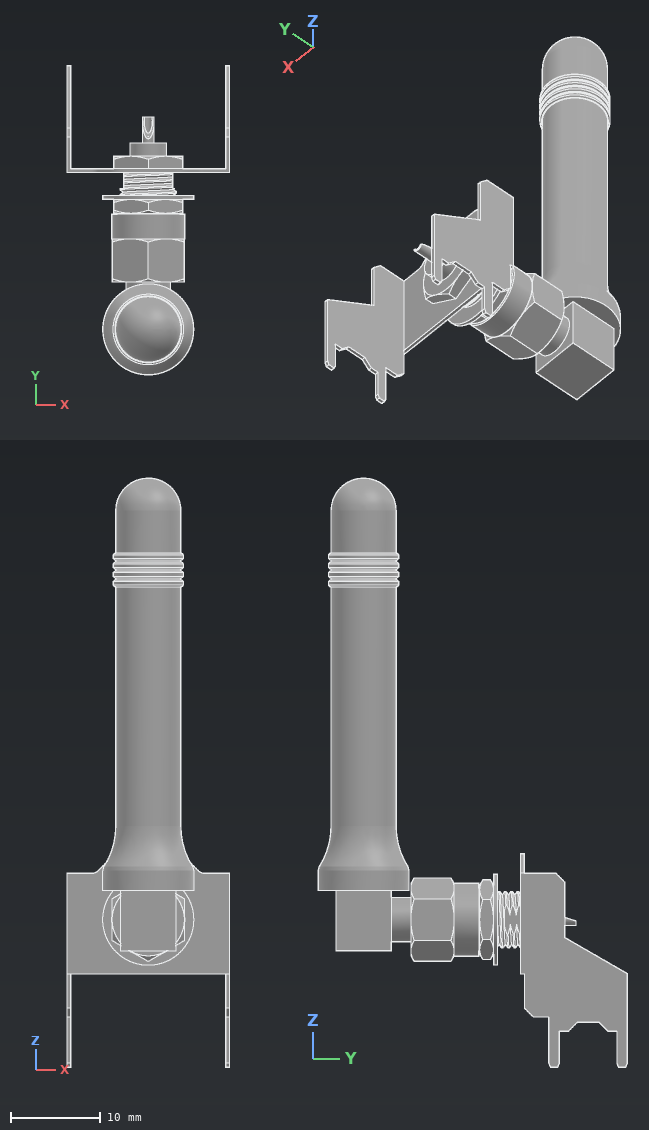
import cadquery as cq
import math


SHEET = 0.45
BRACKET_WIDTH = 18.2
LEG_TOP = 5.2
PLATE_BOTTOM = -6.1
PLATE_HOLE_DIAMETER = 6.5
TAB_TOP = 7.4
TAB_FOOT_HALF = 5.9
TAB_FOOT_RADIUS = 1.0
TAB_CREST_RADIUS = 2.0
LEG_DEPTH = 12.0
LEG_UPPER_DEPTH = 5.0
LEG_SLOPE_TOP = -2.0
LEG_SLOPE_ANGLE = 30
LEG_BOTTOM = -10.9
LEG_CORNER = 1.0
ARCH_SHOULDER = -12.5
ARCH_TOP = ARCH_SHOULDER + LEG_CORNER
ARCH_SHOULDER_WIDTH = 1.0
PRONG_BOTTOM = -16.55
PRONG_WIDTH = 1.2
PRONG_PITCH = 7.62
PRONG_TIP_INSET = 0.2
PRONG_TIP_HEIGHT = 0.5

THREAD_DIAMETER = 6.35
THREAD_MINOR_DIAMETER = 5.6
MM_PER_INCH = 25.4
THREADS_PER_INCH = 36
THREAD_PITCH = MM_PER_INCH / THREADS_PER_INCH
GROOVE_MOUTH_WIDTH = 0.9 * THREAD_PITCH
GROOVE_OVERSHOOT = 0.05
THREAD_FLAT_SPACING = 5.5
THREAD_FLAT_END = -1.75
HEX_CONE_ANGLE = 30
NUT_ACROSS_FLATS = 7.75
NUT_THICKNESS = 1.55
FLANGE_BACK = 1.85
BUSHING_DIAMETER = 4.13
BUSHING_BACK = 3.35
PIN_DIAMETER = 1.32
PIN_BACK = 6.25
CUP_DIAMETER = 0.9
CUP_DEPTH = 2.2
CUP_RAMP_START = 3.8
CUP_RAMP_END_Z = -0.15
WASHER_DIAMETER = 10.21
WASHER_THICKNESS = 0.45
WASHER_BACK = -2.55
WASHER_FRONT = WASHER_BACK - WASHER_THICKNESS
NUT_FRONT = WASHER_FRONT - NUT_THICKNESS
COLLAR_DIAMETER = 7.0
JACK_FRONT = -7.4

COUPLING_BACK = -4.65
COUPLING_DIAMETER = 8.2
COUPLING_HEX_BACK = JACK_FRONT
COUPLING_FRONT = -12.25
COUPLING_ACROSS_FLATS = 8.1
STUB_DIAMETER = 5.0
BASE_DIAMETER = 10.21
OVERALL_DEPTH = 34.65
WHIP_Y = LEG_DEPTH - OVERALL_DEPTH + BASE_DIAMETER / 2
ELBOW_WIDTH = 6.2
ELBOW_BOTTOM = -3.5
BASE_BOTTOM = 3.25
BASE_RIM = 5.45
BASE_TOP = 5.9
BASE_TOP_DIAMETER = 10.0
FLARE_TOP = 10.45
WHIP_DIAMETER = 7.33
WHIP_TOP = 49.45
RIB_DIAMETER = 7.9
RIB_HEIGHT = 0.8
RIB_CHAMFER = 0.2
RIB_PITCH = 1.0
RIB_COUNT = 4
RIBS_BOTTOM = 37.25


def cylinder_y(diameter, front, back):
    """Cylinder on the connector axis from Y = front to Y = back."""
    return cq.Workplane("XZ", origin=(0, back, 0)).circle(diameter / 2).extrude(back - front)


def hexagon_y(across_flats, front, back, front_turned=True):
    """Hexagonal prism on the connector axis, corners up and down.

    The back end, and the front end too if asked, is turned to a 30 degree cone.
    """
    corner_radius = across_flats / math.sqrt(3)
    prism = (
        cq.Workplane("XZ", origin=(0, back, 0))
        .transformed(rotate=(0, 0, 90))
        .polygon(6, 2 * corner_radius)
        .extrude(back - front)
    )
    end_radius = across_flats / 2
    setback = (corner_radius - end_radius) * math.tan(math.radians(HEX_CONE_ANGLE))
    front_corner = [(corner_radius, front)]
    if front_turned:
        front_corner = [(end_radius, front), (corner_radius, front + setback)]
    turned = (
        cq.Workplane("XY")
        .polyline([
            (0, front),
            *front_corner,
            (corner_radius, back - setback),
            (end_radius, back),
            (0, back),
        ])
        .close()
        .revolve(360, (0, 0, 0), (0, 1, 0))
    )
    return prism.intersect(turned)


def flatted_rod(front, back):
    """Thread-sized rod with a flat on each X side."""
    rod = cylinder_y(THREAD_DIAMETER, front, back)
    between_flats = cq.Workplane("XZ", origin=(0, back, 0)).rect(THREAD_FLAT_SPACING, THREAD_DIAMETER)
    return rod.intersect(between_flats.extrude(back - front))


def bracket_plate():
    tab_crest_half = TAB_FOOT_HALF - (TAB_TOP - LEG_TOP)
    half = BRACKET_WIDTH / 2
    plate = (
        cq.Workplane("XZ")
        .polyline([
            (-half, PLATE_BOTTOM),
            (half, PLATE_BOTTOM),
            (half, LEG_TOP),
            (TAB_FOOT_HALF, LEG_TOP),
            (tab_crest_half, TAB_TOP),
            (-tab_crest_half, TAB_TOP),
            (-TAB_FOOT_HALF, LEG_TOP),
            (-half, LEG_TOP),
        ])
        .close()
        .extrude(-SHEET)
    )
    for side in (-1, 1):
        foot = cq.selectors.NearestToPointSelector((side * TAB_FOOT_HALF, SHEET / 2, LEG_TOP))
        crest = cq.selectors.NearestToPointSelector((side * tab_crest_half, SHEET / 2, TAB_TOP))
        plate = plate.edges("|Y").edges(foot).fillet(TAB_FOOT_RADIUS)
        plate = plate.edges("|Y").edges(crest).fillet(TAB_CREST_RADIUS)
    return plate


def prong_tip(y_front):
    """Lower end of a prong, from its front side round to its back side."""
    shoulder = PRONG_BOTTOM + PRONG_TIP_HEIGHT
    return [
        (y_front, shoulder),
        (y_front + PRONG_TIP_INSET, PRONG_BOTTOM),
        (y_front + PRONG_WIDTH - PRONG_TIP_INSET, PRONG_BOTTOM),
        (y_front + PRONG_WIDTH, shoulder),
    ]


def bracket_leg(side):
    back_prong = LEG_DEPTH - PRONG_WIDTH
    front_prong = back_prong - PRONG_PITCH
    arch_front = front_prong + PRONG_WIDTH + ARCH_SHOULDER_WIDTH
    arch_back = back_prong - ARCH_SHOULDER_WIDTH
    slope_drop = (LEG_DEPTH - LEG_UPPER_DEPTH) * math.tan(math.radians(LEG_SLOPE_ANGLE))
    outline = [
        (0, LEG_TOP),
        (0, PLATE_BOTTOM),
        (SHEET, PLATE_BOTTOM),
        (SHEET, LEG_BOTTOM + LEG_CORNER),
        (SHEET + LEG_CORNER, LEG_BOTTOM),
        (front_prong, LEG_BOTTOM),
        *prong_tip(front_prong),
        (front_prong + PRONG_WIDTH, ARCH_SHOULDER),
        (arch_front, ARCH_SHOULDER),
        (arch_front + LEG_CORNER, ARCH_TOP),
        (arch_back - LEG_CORNER, ARCH_TOP),
        (arch_back, ARCH_SHOULDER),
        (back_prong, ARCH_SHOULDER),
        *prong_tip(back_prong),
        (LEG_DEPTH, LEG_SLOPE_TOP - slope_drop),
        (LEG_UPPER_DEPTH, LEG_SLOPE_TOP),
        (LEG_UPPER_DEPTH, LEG_TOP - LEG_CORNER),
        (LEG_UPPER_DEPTH - LEG_CORNER, LEG_TOP),
    ]
    outer_face = side * BRACKET_WIDTH / 2
    return (
        cq.Workplane("YZ", origin=(outer_face, 0, 0))
        .polyline(outline)
        .close()
        .extrude(-side * SHEET)
    )


def make_bracket():
    bracket = bracket_plate()
    for side in (-1, 1):
        bracket = bracket.union(bracket_leg(side))
    return bracket.cut(cylinder_y(PLATE_HOLE_DIAMETER, 0, SHEET))


def thread_groove():
    """Helical V groove around the exposed thread, along the connector axis."""
    start = WASHER_BACK - THREAD_PITCH
    outer_radius = THREAD_DIAMETER / 2 + GROOVE_OVERSHOOT
    root_radius = THREAD_MINOR_DIAMETER / 2
    half_mouth = GROOVE_MOUTH_WIDTH / 2
    helix = cq.Wire.makeHelix(THREAD_PITCH, SHEET - start, root_radius)
    groove = (
        cq.Workplane("XZ")
        .polyline([(root_radius, 0), (outer_radius, -half_mouth), (outer_radius, half_mouth)])
        .close()
        .sweep(cq.Workplane(helix), isFrenet=True)
    )
    groove = groove.rotate((0, 0, 0), (1, 0, 0), -90).translate((0, start, 0))
    exposed = cylinder_y(WASHER_DIAMETER, WASHER_BACK, 0)
    return groove.intersect(exposed)


def solder_pin():
    pin = cylinder_y(PIN_DIAMETER, BUSHING_BACK, PIN_BACK)
    cup = cylinder_y(CUP_DIAMETER, PIN_BACK - CUP_DEPTH, PIN_BACK)
    above_ramp = (
        cq.Workplane("YZ")
        .polyline([
            (CUP_RAMP_START, PIN_DIAMETER / 2),
            (PIN_BACK, CUP_RAMP_END_Z),
            (PIN_BACK, PIN_DIAMETER / 2),
        ])
        .close()
        .extrude(PIN_DIAMETER, both=True)
    )
    return pin.cut(cup).cut(above_ramp)


def make_connector():
    connector = flatted_rod(THREAD_FLAT_END, SHEET)
    connector = connector.union(cylinder_y(THREAD_DIAMETER, JACK_FRONT, THREAD_FLAT_END))
    connector = connector.cut(thread_groove())
    connector = connector.union(hexagon_y(NUT_ACROSS_FLATS, SHEET, FLANGE_BACK, front_turned=False))
    connector = connector.union(cylinder_y(BUSHING_DIAMETER, FLANGE_BACK, BUSHING_BACK))
    connector = connector.union(solder_pin())
    connector = connector.union(cylinder_y(WASHER_DIAMETER, WASHER_FRONT, WASHER_BACK))
    connector = connector.union(hexagon_y(NUT_ACROSS_FLATS, NUT_FRONT, WASHER_FRONT))
    return connector.union(cylinder_y(COLLAR_DIAMETER, COUPLING_BACK, NUT_FRONT))


def coupling_nut():
    sleeve = cylinder_y(COUPLING_DIAMETER, COUPLING_HEX_BACK, COUPLING_BACK)
    hexagon = hexagon_y(COUPLING_ACROSS_FLATS, COUPLING_FRONT, COUPLING_HEX_BACK)
    bore = cylinder_y(THREAD_DIAMETER, JACK_FRONT, COUPLING_BACK)
    return sleeve.union(hexagon).cut(bore)


def elbow():
    stub = cylinder_y(STUB_DIAMETER, WHIP_Y, COUPLING_FRONT)
    block = (
        cq.Workplane("XY", origin=(0, WHIP_Y, ELBOW_BOTTOM))
        .rect(ELBOW_WIDTH, ELBOW_WIDTH)
        .extrude(BASE_BOTTOM - ELBOW_BOTTOM)
    )
    return stub.union(block)


def whip():
    radius = WHIP_DIAMETER / 2
    base_radius = BASE_DIAMETER / 2
    base_top_radius = BASE_TOP_DIAMETER / 2
    flare_height = FLARE_TOP - BASE_TOP
    flare_width = base_top_radius - radius
    flare_radius = (flare_height**2 + flare_width**2) / (2 * flare_width)
    half_angle = math.asin(flare_height / flare_radius) / 2
    flare_middle = (
        radius + flare_radius * (1 - math.cos(half_angle)),
        FLARE_TOP - flare_radius * math.sin(half_angle),
    )
    dome_start = WHIP_TOP - radius
    dome_middle = (radius * math.cos(math.pi / 4), dome_start + radius * math.sin(math.pi / 4))
    body = (
        cq.Workplane("XZ")
        .moveTo(0, BASE_BOTTOM)
        .lineTo(base_radius, BASE_BOTTOM)
        .lineTo(base_radius, BASE_RIM)
        .lineTo(base_top_radius, BASE_TOP)
        .threePointArc(flare_middle, (radius, FLARE_TOP))
        .lineTo(radius, dome_start)
        .threePointArc(dome_middle, (0, WHIP_TOP))
        .close()
        .revolve(360, (0, 0, 0), (0, 1, 0))
    )
    for index in range(RIB_COUNT):
        rib_bottom = RIBS_BOTTOM + index * RIB_PITCH
        rib = cq.Workplane("XY", origin=(0, 0, rib_bottom)).circle(RIB_DIAMETER / 2).extrude(RIB_HEIGHT)
        body = body.union(rib.edges().chamfer(RIB_CHAMFER))
    return body.translate((0, WHIP_Y, 0))


def make_antenna():
    return coupling_nut().union(elbow()).union(whip())


bracket = make_bracket()
connector = make_connector()
antenna = make_antenna()

result = cq.Compound.makeCompound([bracket.val(), connector.val(), antenna.val()])